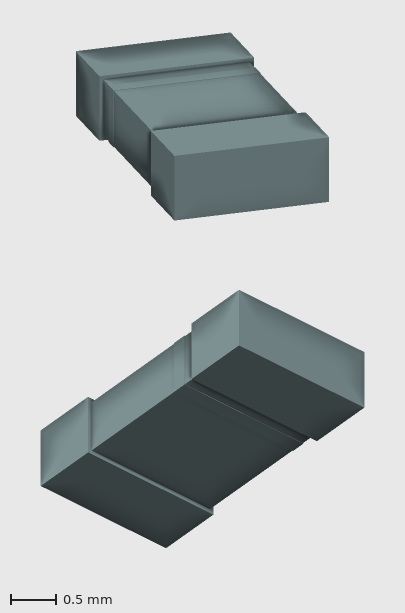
import cadquery as cq

length = 3.4
width = 1.8
height = 0.76

cap_length = 0.813
cap_step = 0.05

body_length = length - 2 * cap_length
body_width = width - 2 * cap_step
body_height = height - 2 * cap_step

band_length = 0.177
band_gap = 0.177
band_thickness = 0.005
band_x = -body_length / 2 + band_gap + band_length / 2


def make_body():
    """Plain block that fills the space between the end caps."""
    return cq.Workplane("XY").box(body_length, body_width, body_height)


def make_cap(side):
    """Solid end block; side is -1 for the -X end and +1 for the +X end."""
    cap_x = side * (length - cap_length) / 2
    return cq.Workplane("XY").box(cap_length, width, height).translate((cap_x, 0, 0))


def make_band():
    """Thin rectangular sleeve that fits closely around the body."""
    outer = cq.Workplane("XY").box(
        band_length,
        body_width + 2 * band_thickness,
        body_height + 2 * band_thickness,
    )
    opening = cq.Workplane("XY").box(band_length, body_width, body_height)
    return outer.cut(opening).translate((band_x, 0, 0))


body = make_body()
caps = [make_cap(side) for side in (-1, 1)]
band = make_band()

result = cq.Compound.makeCompound([body.val(), *[cap.val() for cap in caps], band.val()])